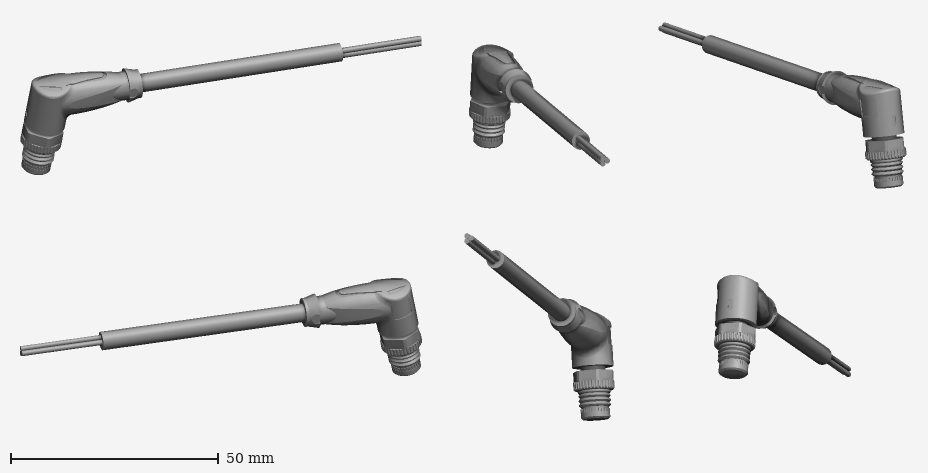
import cadquery as cq
import math


CABLE_DIAMETER = 4.5
CABLE_LENGTH = 50.3
WIRE_DIAMETER = 1.3
WIRE_LENGTH = 19.9

GRIP_END_Y = 22.3
COLLAR_RADIUS = 3.5
COLLAR_CONE_START_Y = 21.6
COLLAR_RIDGE_Y = 19.0
COLLAR_RIDGE_RADIUS = 4.2
COLLAR_CORE_END_Y = 10.3
GRIP_SHOULDER_Y = 17.3
GRIP_INNER_Y = 0.5
GRIP_SWELL = [(GRIP_SHOULDER_Y, COLLAR_RADIUS), (14.7, 4.1), (10.3, 4.7), (3.0, 4.9), (GRIP_INNER_Y, 4.7)]
GRIP_SIDE = [(GRIP_SHOULDER_Y, 2.7), (15.0, 3.5), (10.3, 4.4), (4.0, 4.9), (GRIP_INNER_Y, 5.0)]

COLLAR_POCKET_RADIUS = 1.3
COLLAR_POCKET_Y = 19.8
COLLAR_POCKET_FLOOR_X = 3.5

GROOVE_TIP_Y = 14.3
GROOVE_END_Y = 3.4
GROOVE_TIP_RADIUS = 2.0
GROOVE_END_HALF_WIDTH = 2.7
GROOVE_WIDTH = 0.9
GROOVE_END_WIDTH = 0.2
GROOVE_DEPTH = 0.3

PLUG_TILT = 10.0
ELBOW_DIAMETER = 10.0
ELBOW_CROWN_RADIUS = 8.5
ELBOW_CROWN_HEIGHT = 4.7
ELBOW_CROWN_TILT = 3.0
ELBOW_TOP_FILLET = 0.7
INNER_CORNER_FILLET = 1.8

CRESCENT_BACK_Y = 2.1
CRESCENT_TIP_Y = -3.0
CRESCENT_BULGE_Y = -1.2
CRESCENT_OUTER_X = 3.8
CRESCENT_BULGE_X = 3.0
CRESCENT_INNER_X = 2.7
CRESCENT_TIP_X = 1.2
CRESCENT_DEPTH = 0.2

MARK_DEPTH = 0.2
LABEL_Y = -1.0
LABEL_Z = -0.2
LABEL_WIDTH = 5.2
LABEL_HEIGHT = 4.4
LABEL_CORNER_RADIUS = 0.5
ARROW_TAIL_Z = -1.9
ARROW_LENGTH = 2.7
ARROW_HEAD_LENGTH = 0.9
ARROW_SHAFT_WIDTH = 1.0
ARROW_HEAD_WIDTH = 1.7

ELBOW_BOTTOM = 7.6
NUT_TOP = 8.7
KNURL_TOP = 11.3
KNURL_BOTTOM = 13.3
THREAD_TOP = 14.1
THREAD_BOTTOM = 17.3
NOSE_TOP = 17.7
NOSE_END = 20.2

HEX_ACROSS_FLATS = 9.0
NUT_DIAMETER = 10.0
KNURL_CHAMFER = 0.4
KNURL_COUNT = 36
KNURL_NOTCH_DIAMETER = 0.5
THREAD_DIAMETER = 7.8
THREAD_ROOT_DIAMETER = 6.9
THREAD_PITCH = 1.0
THREAD_CREST_WIDTH = 0.2
SEAL_SEAT_DIAMETER = 6.4

STEM_DIAMETER = 6.0
NOSE_NECK_DIAMETER = 6.6
NOSE_DIAMETER = 7.1
NOSE_CHAMFER = 0.4
NOSE_NOTCH_COUNT = 30
NOSE_NOTCH_WIDTH = 0.3
NOSE_NOTCH_LENGTH = 0.9

TILT = math.radians(PLUG_TILT)
ELBOW_RADIUS = ELBOW_DIAMETER / 2
WORK_SIZE = 39.9


def plug_plane(distance):
    """Plane across the plug axis, its normal pointing to the nose and its +Y to the front."""
    axis = cq.Vector(0, -math.sin(TILT), -math.cos(TILT))
    return cq.Plane(origin=(axis * distance).toTuple(), xDir=(1, 0, 0), normal=axis.toTuple())


PLUG_END = cq.selectors.DirectionMinMaxSelector(plug_plane(0).zDir)


def plug_cylinder(top, bottom, diameter):
    return cq.Workplane(plug_plane(top)).circle(diameter / 2).extrude(bottom - top)


def make_wires():
    start_y = GRIP_END_Y + CABLE_LENGTH
    column_spacing = WIRE_DIAMETER * math.sqrt(3) / 2
    left_x = -column_spacing / 2
    right_x = column_spacing / 2
    centres = [(left_x, 0), (right_x, WIRE_DIAMETER / 2), (right_x, -WIRE_DIAMETER / 2)]
    wires = []
    for x, z in centres:
        wire = cq.Workplane("XZ", origin=(x, start_y, z)).circle(WIRE_DIAMETER / 2).extrude(-WIRE_LENGTH)
        wires.append(wire.val())
    return wires


def make_cable():
    return cq.Workplane("XZ", origin=(0, GRIP_END_Y, 0)).circle(CABLE_DIAMETER / 2).extrude(-CABLE_LENGTH)


def grip_swell(inset):
    """Round body under the grip surface, smaller by the inset all round."""
    swell = [(radius - inset, y) for y, radius in GRIP_SWELL]
    return (
        cq.Workplane("XY")
        .moveTo(*swell[0])
        .spline(swell[1:], includeCurrent=True)
        .lineTo(0, swell[-1][1])
        .lineTo(0, swell[0][1])
        .close()
        .revolve(360, (0, 0, 0), (0, 1, 0))
    )


def make_grip():
    right_side = [(width, y) for y, width in GRIP_SIDE]
    left_side = [(-width, y) for y, width in reversed(GRIP_SIDE)]
    flattened = (
        cq.Workplane("XY", origin=(0, 0, -WORK_SIZE / 2))
        .moveTo(*right_side[0])
        .spline(right_side[1:], includeCurrent=True)
        .lineTo(*left_side[0])
        .spline(left_side[1:], includeCurrent=True)
        .close()
        .extrude(WORK_SIZE)
    )
    return grip_swell(0).intersect(flattened)


def make_collar():
    return (
        cq.Workplane("XY")
        .polyline([
            (0, COLLAR_CORE_END_Y),
            (COLLAR_RADIUS, COLLAR_CORE_END_Y),
            (COLLAR_RADIUS, COLLAR_RIDGE_Y),
            (COLLAR_RIDGE_RADIUS, COLLAR_RIDGE_Y),
            (COLLAR_RADIUS, COLLAR_CONE_START_Y),
            (COLLAR_RADIUS, GRIP_END_Y),
            (0, GRIP_END_Y),
        ])
        .close()
        .revolve(360, (0, 0, 0), (0, 1, 0))
    )


def make_collar_pockets():
    disc = (
        cq.Workplane("YZ")
        .center(COLLAR_POCKET_Y, 0)
        .circle(COLLAR_POCKET_RADIUS)
        .extrude(WORK_SIZE / 2, both=True)
    )
    behind_ridge = cq.Workplane("XY").box(WORK_SIZE, WORK_SIZE, WORK_SIZE, centered=(True, False, True))
    core = cq.Workplane("XY").box(2 * COLLAR_POCKET_FLOOR_X, WORK_SIZE * 2, WORK_SIZE)
    return disc.intersect(behind_ridge.translate((0, COLLAR_RIDGE_Y, 0))).cut(core)


def crown_cylinder(height):
    """Long cylinder along Y that arches the top of the elbow, sloping down to the front."""
    return (
        cq.Workplane("XZ", origin=(0, 0, height - ELBOW_CROWN_RADIUS))
        .circle(ELBOW_CROWN_RADIUS)
        .extrude(WORK_SIZE / 2, both=True)
        .rotate((0, 0, height), (1, 0, height), ELBOW_CROWN_TILT)
    )


def make_elbow():
    column = plug_cylinder(-2 * ELBOW_CROWN_HEIGHT, ELBOW_BOTTOM, ELBOW_DIAMETER)
    crown = crown_cylinder(ELBOW_CROWN_HEIGHT)
    below_crown = cq.Workplane("XY", origin=(0, 0, -WORK_SIZE)).rect(WORK_SIZE, WORK_SIZE).extrude(WORK_SIZE)
    return column.intersect(crown.union(below_crown)).edges(">Z").fillet(ELBOW_TOP_FILLET)


def make_top_groove():
    def u_shape(tip_radius, tip_y, end_half_width):
        arc_y = tip_y - tip_radius
        return (
            cq.Workplane("XY")
            .moveTo(-end_half_width, GROOVE_END_Y)
            .lineTo(-tip_radius, arc_y)
            .threePointArc((0, tip_y), (tip_radius, arc_y))
            .lineTo(end_half_width, GROOVE_END_Y)
            .close()
            .extrude(WORK_SIZE)
        )

    outer = u_shape(GROOVE_TIP_RADIUS, GROOVE_TIP_Y, GROOVE_END_HALF_WIDTH)
    inner = u_shape(
        GROOVE_TIP_RADIUS - GROOVE_WIDTH,
        GROOVE_TIP_Y - GROOVE_WIDTH,
        GROOVE_END_HALF_WIDTH - GROOVE_END_WIDTH,
    )
    return outer.cut(inner).cut(grip_swell(GROOVE_DEPTH))


def make_crescent_grooves():
    right = (
        cq.Workplane("XY")
        .moveTo(CRESCENT_INNER_X, CRESCENT_BACK_Y)
        .lineTo(CRESCENT_OUTER_X, CRESCENT_BACK_Y)
        .threePointArc((CRESCENT_BULGE_X, CRESCENT_BULGE_Y), (CRESCENT_TIP_X, CRESCENT_TIP_Y))
        .close()
        .extrude(WORK_SIZE)
    )
    return right.union(right.mirror("YZ")).cut(crown_cylinder(ELBOW_CROWN_HEIGHT - CRESCENT_DEPTH))


def elbow_marks():
    """A label window on the left side and an arrow on the front, sunk into the elbow wall."""
    wall = plug_cylinder(-ELBOW_RADIUS, ELBOW_BOTTOM, 2 * ELBOW_DIAMETER)
    wall = wall.cut(plug_cylinder(-ELBOW_RADIUS, ELBOW_BOTTOM, ELBOW_DIAMETER - 2 * MARK_DEPTH))
    label = (
        cq.Workplane("XY")
        .box(WORK_SIZE, LABEL_WIDTH, LABEL_HEIGHT)
        .translate((-WORK_SIZE / 2, 0, 0))
        .edges("|X")
        .fillet(LABEL_CORNER_RADIUS)
        .rotate((0, 0, 0), (1, 0, 0), -PLUG_TILT)
        .translate((0, LABEL_Y, LABEL_Z))
    )
    neck_z = ARROW_TAIL_Z - ARROW_LENGTH + ARROW_HEAD_LENGTH
    arrow = (
        cq.Workplane("XZ")
        .polyline([
            (-ARROW_SHAFT_WIDTH / 2, ARROW_TAIL_Z),
            (ARROW_SHAFT_WIDTH / 2, ARROW_TAIL_Z),
            (ARROW_SHAFT_WIDTH / 2, neck_z),
            (ARROW_HEAD_WIDTH / 2, neck_z),
            (0, ARROW_TAIL_Z - ARROW_LENGTH),
            (-ARROW_HEAD_WIDTH / 2, neck_z),
            (-ARROW_SHAFT_WIDTH / 2, neck_z),
        ])
        .close()
        .extrude(WORK_SIZE)
    )
    return wall.intersect(label.union(arrow))


def make_housing():
    housing = make_grip().union(make_elbow())
    below_cable_behind_elbow = ((-ELBOW_RADIUS, 0, -ELBOW_BOTTOM), (ELBOW_RADIUS, ELBOW_DIAMETER, 0))
    corner = cq.selectors.BoxSelector(*below_cable_behind_elbow)
    housing = housing.edges(corner).fillet(INNER_CORNER_FILLET)
    housing = housing.union(make_collar())
    housing = housing.cut(make_collar_pockets()).cut(make_top_groove()).cut(make_crescent_grooves())
    return housing.cut(elbow_marks())


def make_nut():
    hexagon = (
        cq.Workplane(plug_plane(NUT_TOP))
        .polygon(6, HEX_ACROSS_FLATS / math.cos(math.pi / 6))
        .extrude(KNURL_TOP - NUT_TOP)
        .intersect(plug_cylinder(NUT_TOP, KNURL_TOP, NUT_DIAMETER))
    )
    knurl = plug_cylinder(KNURL_TOP, KNURL_BOTTOM, NUT_DIAMETER)
    knurl = knurl.faces(PLUG_END).chamfer(KNURL_CHAMFER)
    notches = (
        cq.Workplane(plug_plane(KNURL_TOP))
        .polarArray(NUT_DIAMETER / 2, 0, 360, KNURL_COUNT)
        .circle(KNURL_NOTCH_DIAMETER / 2)
        .extrude(KNURL_BOTTOM - KNURL_TOP)
    )
    seal_seat = plug_cylinder(KNURL_BOTTOM, THREAD_TOP, SEAL_SEAT_DIAMETER)
    nut = hexagon.union(knurl.cut(notches)).union(seal_seat).union(make_thread())
    return nut.cut(plug_cylinder(NUT_TOP, THREAD_BOTTOM, STEM_DIAMETER))


def make_thread():
    """Thread simplified to a stack of ridges with narrow flat crests."""
    root = THREAD_ROOT_DIAMETER / 2
    crest = THREAD_DIAMETER / 2
    ridge_count = round((THREAD_BOTTOM - THREAD_TOP) / THREAD_PITCH)
    pitch = (THREAD_BOTTOM - THREAD_TOP) / ridge_count
    outline = [(0, 0), (root, 0)]
    for ridge in range(ridge_count):
        middle = (ridge + 0.5) * pitch
        outline.append((crest, middle - THREAD_CREST_WIDTH / 2))
        outline.append((crest, middle + THREAD_CREST_WIDTH / 2))
        outline.append((root, middle + pitch / 2))
    outline.append((0, THREAD_BOTTOM - THREAD_TOP))
    thread = cq.Workplane("XZ").polyline(outline).close().revolve(360, (0, 0, 0), (0, 1, 0))
    return cq.Workplane(thread.val().moved(cq.Location(plug_plane(THREAD_TOP))))


def make_seal():
    section_radius = (THREAD_TOP - KNURL_BOTTOM) / 2
    ring_radius = SEAL_SEAT_DIAMETER / 2 + section_radius
    centre = plug_plane(KNURL_BOTTOM + section_radius)
    return cq.Workplane(cq.Solid.makeTorus(ring_radius, section_radius, centre.origin, centre.zDir))


def make_carrier():
    stem = plug_cylinder(ELBOW_BOTTOM, THREAD_BOTTOM, STEM_DIAMETER)
    neck = plug_cylinder(THREAD_BOTTOM, NOSE_TOP, NOSE_NECK_DIAMETER)
    nose = plug_cylinder(NOSE_TOP, NOSE_END, NOSE_DIAMETER).faces(PLUG_END).chamfer(NOSE_CHAMFER)
    notches = (
        cq.Workplane(plug_plane(NOSE_TOP))
        .polarArray(NOSE_DIAMETER / 2, 0, 360, NOSE_NOTCH_COUNT)
        .rect(NOSE_DIAMETER - NOSE_NECK_DIAMETER, NOSE_NOTCH_WIDTH)
        .extrude(NOSE_NOTCH_LENGTH)
    )
    return stem.union(neck).union(nose.cut(notches))


wires = make_wires()
cable = make_cable()
housing = make_housing()
nut = make_nut()
seal = make_seal()
carrier = make_carrier()

result = cq.Compound.makeCompound(
    [*wires, cable.val(), housing.val(), nut.val(), seal.val(), carrier.val()]
)